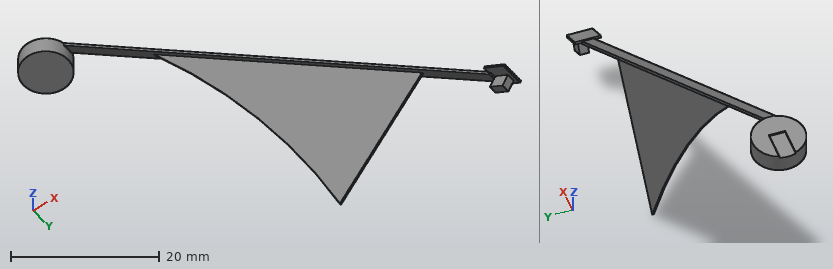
import cadquery as cq
import math

head_diameter = 7.5
head_height = 2.7
slot_length = 4.4
slot_width = 2.3
slot_depth = 0.25

arm_slope = 38.5
arm_width = 1.65
arm_thickness = 0.4
arm_overlap = 0.3

fin_start = 18.2
fin_end = 77.0
fin_depth = 22.8
fin_thickness = 0.25
fin_curve_along = 48.4
fin_curve_depth = 9.5

total_length = 82.8
plate_slope = 30.0
plate_length = 3.8
plate_width = 3.7
plate_thickness = 0.3
plate_tip_drop = 58.9
block_setback = 0.75
block_length = 2.5
block_height = 1.8
block_width = 1.3

head_radius = head_diameter / 2


def sloped_plane(x, z, slope):
    """XZ plane at (x, 0, z): local x runs down the slope, local y points up from it."""
    angle = math.radians(slope)
    return cq.Plane(
        origin=(x, 0, z),
        xDir=(math.cos(angle), 0, -math.sin(angle)),
        normal=(0, -1, 0),
    )


arm_plane = sloped_plane(head_diameter, 0, arm_slope)
plate_plane = sloped_plane(total_length, -plate_tip_drop, plate_slope)


def make_head():
    head = cq.Workplane("XY").center(head_radius, 0).circle(head_radius).extrude(-head_height)
    slot = cq.Workplane("XY").box(
        slot_length, slot_width, slot_depth, centered=(False, True, False)
    )
    return head.cut(slot.translate((0, 0, -slot_depth)))


def make_arm():
    plate_run = plate_length * math.cos(math.radians(plate_slope))
    arm_run = total_length - plate_run - head_diameter
    arm_length = arm_run / math.cos(math.radians(arm_slope)) + arm_overlap
    arm = (
        cq.Workplane(arm_plane)
        .moveTo(-arm_overlap, 0)
        .lineTo(arm_length, 0)
        .lineTo(arm_length, -arm_thickness)
        .lineTo(-arm_overlap, -arm_thickness)
        .close()
        .extrude(arm_width / 2, both=True)
    )
    below_top = cq.Workplane("XY").box(
        total_length, arm_width, total_length, centered=(False, True, False)
    )
    return arm.intersect(below_top.translate((0, 0, -total_length)))


def make_fin():
    root = -arm_thickness / 2
    return (
        cq.Workplane(arm_plane)
        .moveTo(fin_start, root)
        .threePointArc((fin_curve_along, -fin_curve_depth), (fin_end, -fin_depth))
        .lineTo(fin_end, root)
        .close()
        .extrude(fin_thickness / 2, both=True)
    )


def make_plate():
    return (
        cq.Workplane(plate_plane)
        .rect(-plate_length, -plate_thickness, centered=False)
        .extrude(plate_width / 2, both=True)
    )


def make_block():
    return (
        cq.Workplane(plate_plane)
        .moveTo(-block_setback, -plate_thickness)
        .rect(-block_length, -block_height, centered=False)
        .extrude(-block_width)
    )


result = make_head().union(make_arm()).union(make_fin()).union(make_plate()).union(make_block())